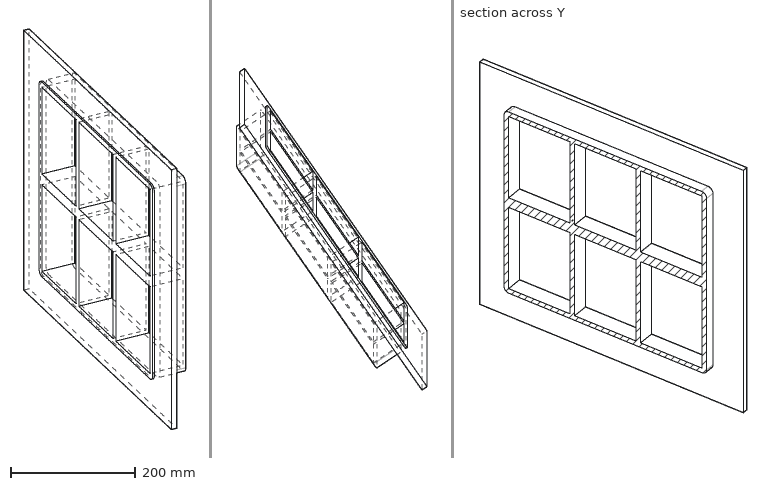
import cadquery as cq

flange_width = 521.5
flange_height = 479.0
flange_thickness = 10.0
flange_margin = 60.0

block_width = flange_width - 2 * flange_margin
block_height = flange_height - 2 * flange_margin
block_depth = 60.0
block_corner_radius = 10.0
front_lip = 3.0

columns = 3
rows = 2
wall = 10.0
column_bar = 10.0
row_bar = 20.0
window_width = (block_width - 2 * wall - (columns - 1) * column_bar) / columns
window_height = (block_height - 2 * wall - (rows - 1) * row_bar) / rows


def make_flange():
    """Flat plate, with its front face at Y = 0."""
    return cq.Workplane("XY").box(
        flange_width, flange_thickness, flange_height, centered=(True, False, True)
    )


def make_block():
    """Round-cornered block that stands proud of the flange by the front lip."""
    return (
        cq.Workplane("XY")
        .box(block_width, block_depth, block_height, centered=(True, False, True))
        .edges("|Y")
        .fillet(block_corner_radius)
        .translate((0, -front_lip, 0))
    )


def make_windows():
    """Grid of rectangular prisms that fills the full depth of the block."""
    return (
        cq.Workplane("XZ", origin=(0, -front_lip, 0))
        .rarray(window_width + column_bar, window_height + row_bar, columns, rows)
        .rect(window_width, window_height)
        .extrude(-block_depth)
    )


result = make_flange().union(make_block()).cut(make_windows())